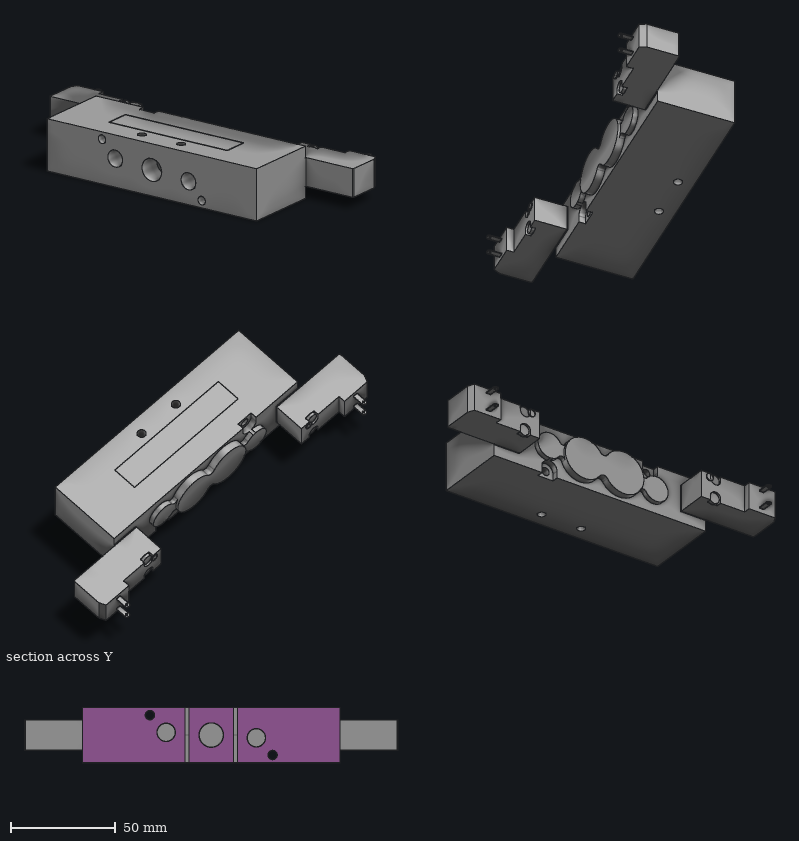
import cadquery as cq
import math

BLOCK_LENGTH = 123.0
BLOCK_DEPTH = 40.0
BLOCK_HEIGHT = 26.5

LABEL_LENGTH = 69.4
LABEL_WIDTH = 13.4
LABEL_THICKNESS = 0.2

CENTRE_PORT_DIAMETER = 11.5
SIDE_PORT_DIAMETER = 8.6
SIDE_PORT_X = 21.5
SIDE_PORT_Z = 1.3
PORT_DEPTH = 12.0

FIXING_DIAMETER = 4.3
BACK_FIXING_X = 29.25
BACK_FIXING_Z = 9.5
RECESS_WIDTH = 8.7
RECESS_DEPTH = 3.4
VERTICAL_FIXING_X = 11.5
VERTICAL_FIXING_Y = 8.0

INNER_LOBE_REACH = 22.8
LEFT_LOBE_RADIUS = 11.6
LEFT_LOBE_Z = 0.1
RIGHT_LOBE_RADIUS = 11.2
RIGHT_LOBE_Z = 0.3
INNER_LOBE_HEIGHT = 4.0
NECK_FILLET = 2.5
OUTER_LOBE_RADIUS = 6.9
OUTER_LOBE_X = 30.9
OUTER_LOBE_Z = 1.5
OUTER_LOBE_HEIGHT = 2.7
OUTER_FILLET = 2.0

PAD_HEIGHT = 0.5
PILOT_WIDTH = 14.6
PILOT_INNER_X = 47.0
PILOT_STEP_X = 72.2
PILOT_OUTER_X = 89.1
PILOT_STEP_HEIGHT = 17.2
PILOT_TOP_HEIGHT = 20.9
PILOT_SLOPE_RUN = 1.6
PILOT_SLOPE_DROP = 3.4
PILOT_CHAMFER = 0.5

SCREW_DIAMETER = 5.8
SCREW_X = 55.3
SCREW_PROUD = 0.5
SCREW_SEAT_HEIGHT = 14.4
SCREW_HEAD_THICKNESS = 1.7

BUTTON_DIAMETER = 3.9
BUTTON_X = 51.8
BUTTON_Z = 5.0
BUTTON_PROUD = 0.5

BLADE_X = 79.4
BLADE_PITCH = 9.4
BLADE_WIDTH = 2.6
BLADE_THICKNESS = 0.5
BLADE_TIP_HEIGHT = 27.99
BLADE_TIP_RADIUS = 1.0
BLADE_HOLE_DIAMETER = 1.0
BLADE_HOLE_FROM_TIP = 1.5

SIDES = (-1, 1)


def box(x_range, y_range, z_range):
    """Box between two values on each axis, given in either order."""
    ranges = [sorted(r) for r in (x_range, y_range, z_range)]
    size = [high - low for low, high in ranges]
    corner = tuple(low for low, high in ranges)
    return cq.Workplane().box(*size, centered=False).translate(corner)


def rod_along_y(x, y, z, radius, length):
    """Cylinder that starts at the given point and runs toward +Y."""
    return cq.Workplane("XZ", origin=(x, y, z)).circle(radius).extrude(-length)


def lobe_pair(first, first_radius, second, second_radius, fillet, height):
    """Two discs on the back face, joined by a web whose sides are arcs tangent to both discs."""
    (first_x, first_z), (second_x, second_z) = first, second
    spacing = math.hypot(second_x - first_x, second_z - first_z)
    along_x = (second_x - first_x) / spacing
    along_z = (second_z - first_z) / spacing

    first_reach = first_radius + fillet
    second_reach = second_radius + fillet
    along = (spacing**2 + first_reach**2 - second_reach**2) / (2 * spacing)
    across = math.sqrt(first_reach**2 - along**2)
    foot_x = first_x + along * along_x
    foot_z = first_z + along * along_z
    arc_centres = [(foot_x - s * across * along_z, foot_z + s * across * along_x) for s in SIDES]

    outline = [first, arc_centres[0], second, arc_centres[1]]
    back_face = cq.Workplane("XZ", origin=(0, BLOCK_DEPTH, 0))
    lobes = back_face.polyline(outline).close().extrude(-height)
    for x, z in arc_centres:
        lobes = lobes.cut(rod_along_y(x, BLOCK_DEPTH, z, fillet, height))
    for (x, z), radius in ((first, first_radius), (second, second_radius)):
        lobes = lobes.union(rod_along_y(x, BLOCK_DEPTH, z, radius, height))
    return lobes


def make_boss():
    left = (LEFT_LOBE_RADIUS - INNER_LOBE_REACH, LEFT_LOBE_Z)
    right = (INNER_LOBE_REACH - RIGHT_LOBE_RADIUS, RIGHT_LOBE_Z)
    boss = lobe_pair(left, LEFT_LOBE_RADIUS, right, RIGHT_LOBE_RADIUS, NECK_FILLET, INNER_LOBE_HEIGHT)
    for side, inner, radius in ((-1, left, LEFT_LOBE_RADIUS), (1, right, RIGHT_LOBE_RADIUS)):
        outer = (side * OUTER_LOBE_X, side * OUTER_LOBE_Z)
        pair = lobe_pair(inner, radius, outer, OUTER_LOBE_RADIUS, OUTER_FILLET, OUTER_LOBE_HEIGHT)
        boss = boss.union(pair)
    return boss


def make_pilot_pad(side):
    """Low pad under a pilot, flush with the end of the block."""
    return box(
        (side * PILOT_INNER_X, side * BLOCK_LENGTH / 2),
        (BLOCK_DEPTH, BLOCK_DEPTH + PAD_HEIGHT),
        (-PILOT_WIDTH / 2, PILOT_WIDTH / 2),
    )


def make_back_fixing(side):
    """Hole along Y with a U-shaped screw recess; the recess also clears the boss."""
    x = side * BACK_FIXING_X
    z = -side * BACK_FIXING_Z
    floor_y = BLOCK_DEPTH - RECESS_DEPTH
    recess_length = RECESS_DEPTH + INNER_LOBE_HEIGHT
    hole = rod_along_y(x, 0, z, FIXING_DIAMETER / 2, BLOCK_DEPTH)
    round_end = rod_along_y(x, floor_y, z, RECESS_WIDTH / 2, recess_length)
    open_end = box(
        (x - RECESS_WIDTH / 2, x + RECESS_WIDTH / 2),
        (floor_y, floor_y + recess_length),
        (z, -side * BLOCK_HEIGHT / 2),
    )
    return hole.union(round_end).union(open_end)


def make_block():
    block = box(
        (-BLOCK_LENGTH / 2, BLOCK_LENGTH / 2),
        (0, BLOCK_DEPTH),
        (-BLOCK_HEIGHT / 2, BLOCK_HEIGHT / 2),
    )
    block = block.union(make_boss())
    block = block.cut(rod_along_y(0, 0, 0, CENTRE_PORT_DIAMETER / 2, PORT_DEPTH))
    for side in SIDES:
        block = block.union(make_pilot_pad(side))
        port_x = side * SIDE_PORT_X
        port_z = -side * SIDE_PORT_Z
        block = block.cut(rod_along_y(port_x, 0, port_z, SIDE_PORT_DIAMETER / 2, PORT_DEPTH))
        block = block.cut(make_back_fixing(side))
        vertical_hole = cq.Workplane().circle(FIXING_DIAMETER / 2).extrude(BLOCK_HEIGHT / 2, both=True)
        block = block.cut(vertical_hole.translate((side * VERTICAL_FIXING_X, VERTICAL_FIXING_Y, 0)))
    return block.cut(make_label())


def make_label():
    return box(
        (-LABEL_LENGTH / 2, LABEL_LENGTH / 2),
        ((BLOCK_DEPTH - LABEL_WIDTH) / 2, (BLOCK_DEPTH + LABEL_WIDTH) / 2),
        (BLOCK_HEIGHT / 2 - LABEL_THICKNESS, BLOCK_HEIGHT / 2),
    )


def make_pilot_housing():
    outline = [
        (PILOT_INNER_X, PAD_HEIGHT),
        (PILOT_OUTER_X - PILOT_CHAMFER, PAD_HEIGHT),
        (PILOT_OUTER_X, PAD_HEIGHT + PILOT_CHAMFER),
        (PILOT_OUTER_X, PILOT_TOP_HEIGHT - PILOT_SLOPE_DROP),
        (PILOT_OUTER_X - PILOT_SLOPE_RUN, PILOT_TOP_HEIGHT),
        (PILOT_STEP_X, PILOT_TOP_HEIGHT),
        (PILOT_STEP_X, PILOT_STEP_HEIGHT),
        (PILOT_INNER_X, PILOT_STEP_HEIGHT),
    ]
    base = cq.Workplane(origin=(0, BLOCK_DEPTH, 0))
    return base.polyline(outline).close().extrude(PILOT_WIDTH / 2, both=True)


def add_screw(pilot, side):
    """Cut a U-shaped slot into one side of the pilot and seat a screw head in it."""
    radius = SCREW_DIAMETER / 2
    seat_y = BLOCK_DEPTH + SCREW_SEAT_HEIGHT
    z = side * (PILOT_WIDTH / 2 + SCREW_PROUD - radius)
    slot_depth = PILOT_STEP_HEIGHT - SCREW_SEAT_HEIGHT
    pilot = pilot.cut(rod_along_y(SCREW_X, seat_y, z, radius, slot_depth))
    slot = box(
        (SCREW_X - radius, SCREW_X + radius),
        (seat_y, seat_y + slot_depth),
        (z, side * PILOT_WIDTH / 2),
    )
    return pilot.cut(slot).union(rod_along_y(SCREW_X, seat_y, z, radius, SCREW_HEAD_THICKNESS))


def make_blade(side):
    z = side * BLADE_PITCH / 2
    tip_y = BLOCK_DEPTH + BLADE_TIP_HEIGHT
    blade = box(
        (BLADE_X - BLADE_WIDTH / 2, BLADE_X + BLADE_WIDTH / 2),
        (BLOCK_DEPTH + PILOT_TOP_HEIGHT, tip_y),
        (z - BLADE_THICKNESS / 2, z + BLADE_THICKNESS / 2),
    )
    blade = blade.faces(">Y").edges("|Z").fillet(BLADE_TIP_RADIUS)
    hole = cq.Workplane().circle(BLADE_HOLE_DIAMETER / 2).extrude(BLADE_THICKNESS / 2, both=True)
    return blade.cut(hole.translate((BLADE_X, tip_y - BLADE_HOLE_FROM_TIP, z)))


def make_pilot(side):
    """Solenoid pilot at one end of the block: side 1 at +X, side -1 its mirror image."""
    pilot = make_pilot_housing()
    for screw_side in SIDES:
        pilot = add_screw(pilot, screw_side)
    for blade_side in SIDES:
        pilot = pilot.union(make_blade(blade_side))
    button_y = BLOCK_DEPTH + PILOT_STEP_HEIGHT
    pilot = pilot.union(rod_along_y(BUTTON_X, button_y, BUTTON_Z, BUTTON_DIAMETER / 2, BUTTON_PROUD))
    return pilot if side > 0 else pilot.mirror("YZ")


block = make_block()
label = make_label()
pilots = [make_pilot(side) for side in SIDES]
bodies = [block, label, *pilots]
result = cq.Compound.makeCompound([solid for body in bodies for solid in body.solids().vals()])